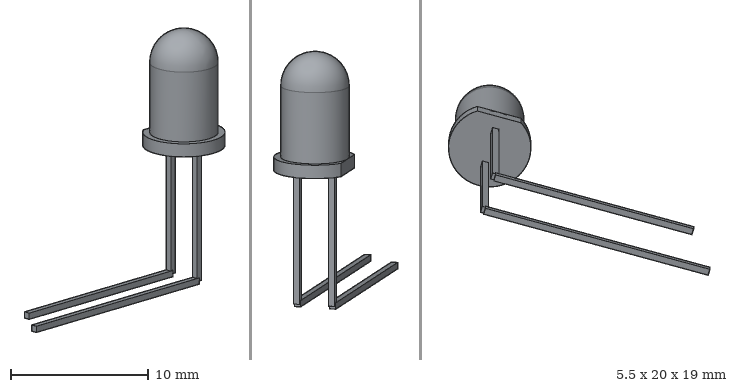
import cadquery as cq

FLANGE_DIAMETER = 6.0
FLANGE_HEIGHT = 1.0
BARREL_DIAMETER = 5.0
BARREL_RADIUS = BARREL_DIAMETER / 2
HOUSING_HEIGHT = 8.8
FLAT_X = -BARREL_RADIUS

WIRE = 0.48
LEAD_GAP = 2.2
LEAD_X = (LEAD_GAP + WIRE) / 2
LEAD_DROP = 10.0
SHORT_RUN = 15.0
LONG_RUN = 17.0


def make_housing():
    """Flange, barrel and hemispherical dome, standing on the XY plane."""
    flange = cq.Workplane("XY").circle(FLANGE_DIAMETER / 2).extrude(FLANGE_HEIGHT)
    beyond_flat = (
        cq.Workplane("XY")
        .box(FLANGE_DIAMETER, FLANGE_DIAMETER, FLANGE_HEIGHT, centered=(True, True, False))
        .translate((FLAT_X - FLANGE_DIAMETER / 2, 0, 0))
    )
    dome_base = HOUSING_HEIGHT - BARREL_RADIUS
    bullet = (
        cq.Workplane("XZ")
        .lineTo(BARREL_RADIUS, 0)
        .lineTo(BARREL_RADIUS, dome_base)
        .radiusArc((0, HOUSING_HEIGHT), -BARREL_RADIUS)
        .close()
        .revolve(360, (0, 0, 0), (0, 1, 0))
    )
    return flange.cut(beyond_flat).union(bullet)


def make_lead_run(x, length):
    """Horizontal wire, centred on the lower end of its lead drop."""
    return (
        cq.Workplane("XY")
        .box(WIRE, length, WIRE)
        .translate((x, -length / 2, -LEAD_DROP))
    )


def make_lead_drop(x, run):
    """Vertical wire under the housing, notched where the run enters its lower end."""
    wire = (
        cq.Workplane("XY")
        .box(WIRE, WIRE, LEAD_DROP)
        .translate((x, 0, -LEAD_DROP / 2))
    )
    return wire.cut(run)


housing = make_housing()
bodies = [housing.val()]
for lead_x, run_length in ((-LEAD_X, SHORT_RUN), (LEAD_X, LONG_RUN)):
    lead_run = make_lead_run(lead_x, run_length)
    lead_drop = make_lead_drop(lead_x, lead_run)
    bodies += [lead_drop.val(), lead_run.val()]

result = cq.Compound.makeCompound(bodies)